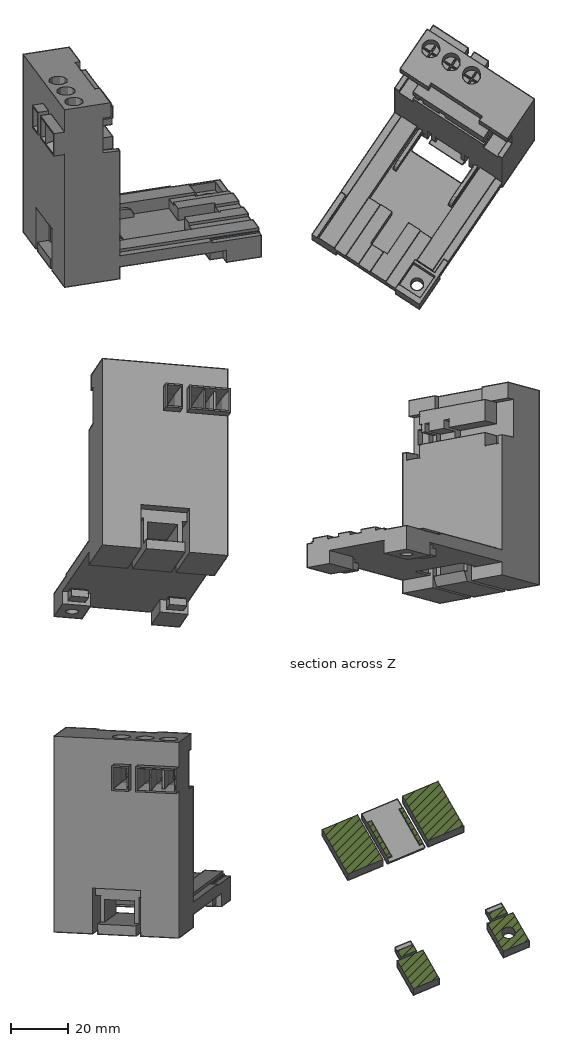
import cadquery as cq

width = 45.0
height = 69.5
total_depth = 76.4
connector_reach = 3.9
base_end = total_depth - connector_reach

tower_back = 20.4
channel_front = 14.2
overhang_back = 17.0
overhang_bottom = 63.9
shelf_top = 50.4
ledge_drop = 0.3
ledge_width = 1.8
ridge_top = 52.0
slot_depth = 3.05
ridge_margin = 7.7
upper_block_bottom = 56.2
overhang_notch_margin = 11.85
overhang_notch_front = 15.2

base_bottom = 4.65
floor_top = 5.35
rail_base_top = 9.0
rail_top = 10.1
lip_top = 8.5

side_rail_inner = 9.3
side_rail_outer = 2.75
centre_rail_margin = 14.1
centre_gap_left = 20.6
centre_gap_right = 25.5
centre_recess_left = 19.1
centre_recess_right = 26.05
centre_recess_start = 8.55
floor_start = 21.9
left_rail_start = 12.4
lip_length = 18.2
left_lip_width = 1.8
right_lip_width = 2.15

pocket_left = 1.1
pocket_right = 10.1
pocket_start = 2.1
pocket_end = 11.4
mount_hole_x = 5.05
mount_hole_from_end = 6.1
mount_hole_diameter = 4.5

opening_margin = 11.8
opening_back = 27.9
opening_corner = 0.9
guide_margin = 10.2
guide_thickness = 1.4
guide_back = 37.0
guide_top = 8.9
guide_round = 3.1

foot_length = 12.9
hook_gap = 0.6
hook_neck = 3.05
hook_length = 4.9
hook_bottom = 1.0
hook_lip_top = 3.6
hook_margin = 1.8
hook_width = 6.1

latch_left = 13.9
latch_right = 31.25
latch_recess_top = 16.3
latch_recess_depth = 4.2
latch_side_top = 12.9
latch_window_top = 11.6
left_arm_thickness = 1.45
right_arm_thickness = 1.75
tongue_left = 15.75
tongue_right = 29.65
tongue_thickness = 3.6
tongue_tip = 22.0

screw_x = 23.0
screw_pitch = 8.52
screw_count = 3
screw_y = 5.1
screw_diameter = 6.3
screw_well_depth = 6.5
cross_length = 5.35
cross_width = 0.5
cross_depth = 0.8

connector_bottom = 52.0
connector_top = 60.8
single_left = 21.85
single_right = 27.8
triple_left = 30.3
cells = [
    dict(mouth=(22.4, 27.35), throat=(23.7, 26.35), rear_throat=(24.0, 26.35), clamp_rises=False),
    dict(mouth=(30.9, 35.5), throat=(32.25, 34.85), rear_throat=(33.1, 34.85), clamp_rises=False),
    dict(mouth=(36.0, 39.7), throat=(36.4, 38.9), rear_throat=(36.4, 38.3), clamp_rises=True),
    dict(mouth=(40.1, 44.5), throat=(40.8, 43.2), rear_throat=(41.1, 43.2), clamp_rises=False),
]
mouth_rim = 0.5
throat_bottom = 53.95
throat_top = 59.2
mouth_taper_depth = 6.1
throat_step_y = 9.2
clamp_depth = 0.8
clamp_thickness = 0.85
clamp_high = 55.85
clamp_drop = 1.1
divider_setback = 2.1


def block(x0, x1, y0, y1, z0, z1):
    """Axis-aligned box between two corners."""
    return cq.Workplane("XY").box(x1 - x0, y1 - y0, z1 - z0, centered=False).translate((x0, y0, z0))


def side_profile(points, x0, x1):
    """Outline of (y, z) points extruded from x0 to x1."""
    return cq.Workplane("YZ", origin=(x0, 0, 0)).polyline(points).close().extrude(x1 - x0)


def mirrored(left_solid):
    """A solid together with its mirror image about the middle of the width."""
    right_solid = left_solid.mirror("YZ", (width / 2, 0, 0))
    return left_solid.union(right_solid)


def from_end(length):
    """Y position at a given length from the rear end of the base."""
    return base_end - length


def make_tower():
    tower = side_profile(
        [
            (0, 0),
            (tower_back, 0),
            (tower_back, shelf_top),
            (channel_front, shelf_top),
            (channel_front, overhang_bottom),
            (overhang_back, overhang_bottom),
            (overhang_back, height),
            (0, height),
        ],
        0,
        width,
    )
    ridge = block(ridge_margin, width - ridge_margin, channel_front, tower_back, shelf_top, ridge_top)
    upper_block = block(
        ridge_margin, width - ridge_margin,
        channel_front, tower_back, upper_block_bottom, overhang_bottom,
    )
    ledge_slope = side_profile(
        [(channel_front, shelf_top), (tower_back, shelf_top), (tower_back, shelf_top - ledge_drop)],
        0,
        ledge_width,
    )
    slot = block(
        ledge_width, ridge_margin, channel_front, tower_back, shelf_top - slot_depth, shelf_top
    )
    overhang_notch = block(
        overhang_notch_margin, width - overhang_notch_margin,
        overhang_notch_front, overhang_back, overhang_bottom, height,
    )
    tower = tower.union(ridge).union(upper_block)
    return tower.cut(mirrored(ledge_slope)).cut(mirrored(slot)).cut(overhang_notch)


def make_base():
    base = block(0, width, tower_back, base_end, base_bottom, rail_base_top)
    left_rail = block(
        side_rail_outer, side_rail_inner, tower_back, from_end(left_rail_start), rail_base_top, rail_top
    )
    right_rail = block(
        width - side_rail_inner, width - side_rail_outer, tower_back, base_end, rail_base_top, rail_top
    )
    base = base.union(left_rail).union(right_rail)
    for x0, x1 in [
        (centre_rail_margin, centre_gap_left),
        (centre_gap_right, width - centre_rail_margin),
    ]:
        base = base.union(block(x0, x1, from_end(floor_start), base_end, rail_base_top, rail_top))

    sunken_floor = block(
        side_rail_inner, width - side_rail_inner, tower_back, from_end(floor_start), floor_top, rail_top
    )
    centre_recess = block(
        centre_recess_left, centre_recess_right,
        from_end(floor_start), from_end(centre_recess_start), floor_top, rail_top,
    )
    left_lip = block(0, left_lip_width, from_end(lip_length), base_end, lip_top, rail_top)
    right_lip = block(width - right_lip_width, width, from_end(lip_length), base_end, lip_top, rail_top)
    pocket_rim = block(0, pocket_right, from_end(left_rail_start), base_end, lip_top, rail_top)
    for recess in [sunken_floor, centre_recess, left_lip, right_lip, pocket_rim]:
        base = base.cut(recess)
    return base


def make_feet():
    return mirrored(block(0, pocket_right, from_end(foot_length), base_end, 0, base_bottom))


def make_hooks():
    root = from_end(foot_length + hook_gap)
    profile = [
        (root, base_bottom),
        (root, hook_bottom),
        (root - hook_length, hook_bottom),
        (root - hook_length, hook_lip_top),
        (root - hook_neck, hook_lip_top),
        (root - hook_neck, base_bottom),
    ]
    return mirrored(side_profile(profile, hook_margin, hook_margin + hook_width))


def make_guides():
    guide = block(
        guide_margin, guide_margin + guide_thickness, tower_back, guide_back, floor_top, guide_top
    )
    return mirrored(guide.edges(">Y and >Z").fillet(guide_round))


def cut_mounting_pocket(body):
    pocket = block(
        pocket_left, pocket_right, from_end(pocket_end), from_end(pocket_start), floor_top, rail_top
    )
    hole = (
        cq.Workplane("XY")
        .center(mount_hole_x, from_end(mount_hole_from_end))
        .circle(mount_hole_diameter / 2)
        .extrude(height)
    )
    return body.cut(pocket).cut(hole)


def cut_floor_opening(body):
    opening = block(opening_margin, width - opening_margin, tower_back, opening_back, 0, floor_top)
    return body.cut(opening.edges("|Z").fillet(opening_corner))


def cut_latch(body):
    recess = block(latch_left, latch_right, 0, latch_recess_depth, 0, latch_recess_top)
    passage = block(latch_left, latch_right, 0, tower_back, 0, latch_side_top)
    arms = block(tongue_left, tongue_right, latch_recess_depth, tower_back, 0, latch_side_top)
    window = block(
        tongue_left + left_arm_thickness, tongue_right - right_arm_thickness,
        0, tower_back, tongue_thickness, latch_window_top,
    )
    tongue = side_profile(
        [(0, 0), (tower_back, 0), (tongue_tip, tongue_thickness), (0, tongue_thickness)],
        tongue_left,
        tongue_right,
    )
    return body.cut(recess).cut(passage).union(arms.cut(window)).union(tongue)


def cut_screw_wells(body):
    well_bottom = height - screw_well_depth
    centres = [(screw_x + i * screw_pitch, screw_y) for i in range(screw_count)]
    wells = cq.Workplane("XY", origin=(0, 0, well_bottom)).pushPoints(centres)
    crosses = cq.Workplane("XY", origin=(0, 0, well_bottom - cross_depth)).pushPoints(centres)
    body = body.cut(wells.circle(screw_diameter / 2).extrude(screw_well_depth))
    body = body.cut(crosses.rect(cross_length, cross_width).extrude(cross_depth))
    return body.cut(crosses.rect(cross_width, cross_length).extrude(cross_depth))


def make_mouth(mouth, throat):
    """Tapered entry that narrows from the connector rim to the throat."""
    mouth_x0, mouth_x1 = mouth
    throat_x0, throat_x1 = throat
    mouth_z0 = connector_bottom + mouth_rim
    mouth_z1 = connector_top - mouth_rim
    middle_x = (mouth_x0 + mouth_x1) / 2
    middle_z = (mouth_z0 + mouth_z1) / 2
    shift_x = (throat_x0 + throat_x1) / 2 - middle_x
    shift_z = (throat_bottom + throat_top) / 2 - middle_z
    return (
        cq.Workplane("XZ", origin=(middle_x, -connector_reach, middle_z))
        .rect(mouth_x1 - mouth_x0, mouth_z1 - mouth_z0)
        .workplane(offset=-mouth_taper_depth)
        .center(shift_x, shift_z)
        .rect(throat_x1 - throat_x0, throat_top - throat_bottom)
        .loft(ruled=True)
    )


def make_clamp(x0, x1, rises):
    """Slanted strip across the throat."""
    low = clamp_high - clamp_drop
    left, right = (low, clamp_high) if rises else (clamp_high, low)
    outline = [(x0, left), (x1, right), (x1, right - clamp_thickness), (x0, left - clamp_thickness)]
    return cq.Workplane("XZ", origin=(0, throat_step_y, 0)).polyline(outline).close().extrude(clamp_depth)


def add_connectors(body):
    for x0, x1 in [(single_left, single_right), (triple_left, width)]:
        body = body.union(block(x0, x1, -connector_reach, 0, connector_bottom, connector_top))
    taper_end = mouth_taper_depth - connector_reach
    for cell in cells:
        throat = block(*cell["throat"], taper_end, throat_step_y, throat_bottom, throat_top)
        rear_throat = block(*cell["rear_throat"], throat_step_y, tower_back, throat_bottom, throat_top)
        body = body.cut(make_mouth(cell["mouth"], cell["throat"])).cut(throat).cut(rear_throat)
        body = body.union(make_clamp(*cell["throat"], cell["clamp_rises"]))

    left_cell, right_cell = cells[-2:]
    mouth = (left_cell["mouth"][0], right_cell["mouth"][1])
    throat = (left_cell["throat"][0], right_cell["throat"][1])
    front_part = block(
        *mouth, -connector_reach, divider_setback - connector_reach, connector_bottom, connector_top
    )
    return body.cut(make_mouth(mouth, throat).intersect(front_part))


body = make_tower().union(make_base()).union(make_feet()).union(make_hooks())
body = cut_mounting_pocket(body)
body = cut_floor_opening(body)
body = body.union(make_guides())
body = cut_latch(body)
body = cut_screw_wells(body)
result = add_connectors(body)